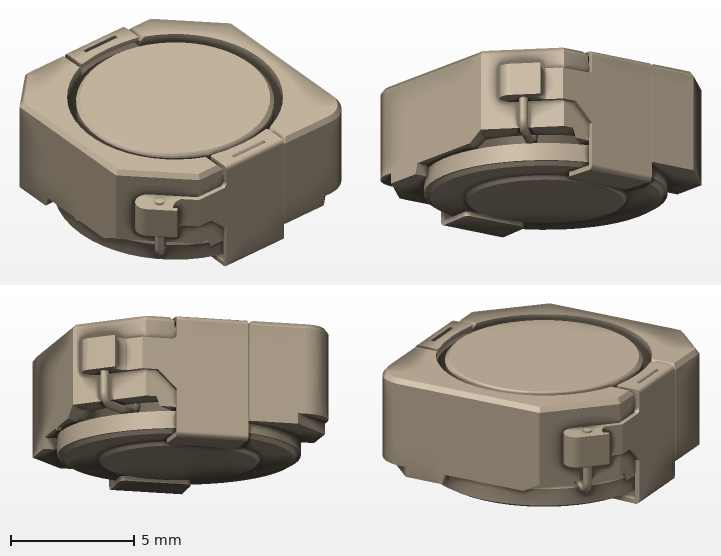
import cadquery as cq
import math


ROOT2 = math.sqrt(2)
TOP_Z = 5.0
SIDES = (0, 180)

SHEET = 0.2
STRAP_X = 5.18
STRAP_INNER_X = STRAP_X - SHEET
STRAP_HALF_WIDTH = 1.5
TAB_TIP_X = 4.28
TAB_EDGE_RADIUS = 6.04
TAB_TIP_FILLET = 0.08
TAB_GROOVE_X = 4.63
TAB_GROOVE_WIDTH = 0.2
TAB_GROOVE_DEPTH = 0.15
TAB_GROOVE_LENGTH = 1.67
FOOT_TIP_X = 3.43
FOOT_RISE = 0.05
FOOT_TIP_FILLET = 0.24
ARM_BOTTOM_Z = 2.72
ARM_TOP_Z = 4.03
ARM_HEIGHT = ARM_TOP_Z - ARM_BOTTOM_Z
GUSSET_RUN = 0.8
GUSSET_DROP = 0.77
ARM_FILLET = 0.2

HOOK_OUT = 6.07
HOOK_ACROSS = 0.47
HOOK_OUTER_RADIUS = 0.52
HOOK_INNER_RADIUS = HOOK_OUTER_RADIUS - SHEET
HOOK_TIP_X = 5.21
HOOK_TIP_ACROSS = HOOK_OUT + HOOK_OUTER_RADIUS - HOOK_TIP_X * ROOT2
SOLDER_TIP_ACROSS = -0.58
SOLDER_MIDDLE_ACROSS = -0.61
SOLDER_STRAP_ACROSS = -0.84

SHELL_HALF_X = STRAP_X
SHELL_HALF_Y = 5.15
SHELL_INSET_X = 4.96
SHELL_BOTTOM_Z = 1.25
LEG_BOTTOM_Z = 0.81
LEG_END_X = 1.95
LEG_SLOPE = 0.13
SLOT_HALF_WIDTH = 1.54
SLOT_FLOOR_Z = 4.52
TOP_CHAMFER_WIDTH = 0.16
TOP_CHAMFER_HEIGHT = 0.2
BEVEL_CORNER = 1.56
ROUND_CORNER = 1.22
HOOK_CORNER_SUM = 7.7
BORE_RADIUS = 4.38
FLANGE_BORE_RADIUS = 4.96
LEAD_NOTCH_TOP_Z = 1.65
LEAD_NOTCH_HALF_WIDTH = 1.88
LEAD_NOTCH_STEEP_RUN = 0.1
LEAD_NOTCH_SHALLOW_RUN = 0.5
TOOTH_HALF_WIDTH = 0.19
TOOTH_HEIGHT = 0.11
TOOTH_LENGTH = 0.42

CORE_X = 0.04
FLANGE_RADIUS = 4.94
FLANGE_CHAMFER_RADIUS = 4.83
FLANGE_CHAMFER_Z = 0.42
FLANGE_EDGE_Z = 1.14
FLANGE_TOP_Z = 1.21
FLANGE_TOP_RADIUS = 4.38
FLANGE_BOTTOM_RADIUS = 4.68
FLANGE_BOTTOM_Z = 0.26
BASE_RADIUS = 3.31
BASE_BOTTOM_RADIUS = 3.16
BASE_BOTTOM_Z = 0.1
POST_RADIUS = 2.5
CAP_BOTTOM_Z = 4.06
CAP_RADIUS = 4.01
CAP_TOP_RADIUS = 3.86
CAP_CHAMFER = 0.16
CORE_TOP_Z = 4.96

COIL_RADIUS = 3.44
WIRE_RADIUS = 0.18
WIRE_BEND = 0.42
LEAD_Z = 1.4
LEAD_TOP_Z = 4.11
LEAD_RISE_OUT = COIL_RADIUS
LEAD_RISE_BEND = 0.57

FAR = 6.25


def corner_point(across, out):
    """Plan position at the (-X, +Y) corner, across and out along its diagonal."""
    return ((across - out) / ROOT2, (across + out) / ROOT2)


def turned(body, angle):
    return body.rotate((0, 0, 0), (0, 0, 1), angle)


def hook_channel_points(radius):
    """Strap-side start, mid arc, and free-side end of the hook's round end."""
    start = corner_point(HOOK_ACROSS, HOOK_OUT - radius)
    middle = corner_point(HOOK_ACROSS + radius, HOOK_OUT)
    end = corner_point(HOOK_ACROSS, HOOK_OUT + radius)
    return start, middle, end


def shell_outline():
    hook_y = HOOK_CORNER_SUM - SHELL_INSET_X
    hook_x = HOOK_CORNER_SUM - SHELL_HALF_Y
    arc_offset = ROUND_CORNER * (1 - 1 / ROOT2)
    return (
        cq.Workplane("XY")
        .moveTo(BEVEL_CORNER - SHELL_HALF_X, -SHELL_HALF_Y)
        .lineTo(hook_x, -SHELL_HALF_Y)
        .lineTo(SHELL_INSET_X, -hook_y)
        .lineTo(SHELL_INSET_X, SLOT_HALF_WIDTH)
        .lineTo(SHELL_HALF_X, SLOT_HALF_WIDTH)
        .lineTo(SHELL_HALF_X, SHELL_HALF_Y - ROUND_CORNER)
        .threePointArc(
            (SHELL_HALF_X - arc_offset, SHELL_HALF_Y - arc_offset),
            (SHELL_HALF_X - ROUND_CORNER, SHELL_HALF_Y),
        )
        .lineTo(-hook_x, SHELL_HALF_Y)
        .lineTo(-SHELL_INSET_X, hook_y)
        .lineTo(-SHELL_INSET_X, -SLOT_HALF_WIDTH)
        .lineTo(-SHELL_HALF_X, -SLOT_HALF_WIDTH)
        .lineTo(-SHELL_HALF_X, BEVEL_CORNER - SHELL_HALF_Y)
        .close()
    )


def shell_upper_block():
    """Walls above the legs, with the tab slot and the bevelled top rims."""
    rim_z = TOP_Z - TOP_CHAMFER_HEIGHT
    block = shell_outline().extrude(rim_z - SHELL_BOTTOM_Z).translate((0, 0, SHELL_BOTTOM_Z))
    slot = cq.Workplane("XY", origin=(0, 0, SLOT_FLOOR_Z)).rect(2 * FAR, 2 * SLOT_HALF_WIDTH)
    block = block.cut(slot.extrude(TOP_Z))
    taper = math.degrees(math.atan(TOP_CHAMFER_WIDTH / TOP_CHAMFER_HEIGHT))
    return block.faces(">Z").wires().toPending().extrude(TOP_CHAMFER_HEIGHT, taper=taper)


def shell_legs():
    """Deeper walls at the (-X, -Y) and (+X, +Y) corners, each with one sloped end."""
    end_points = [
        (-FAR, LEG_BOTTOM_Z),
        (-LEG_END_X, LEG_BOTTOM_Z),
        (LEG_SLOPE - LEG_END_X, SHELL_BOTTOM_Z),
        (-FAR, SHELL_BOTTOM_Z),
    ]
    span = cq.Workplane("XZ", origin=(0, -SLOT_HALF_WIDTH, 0)).polyline(end_points).close().extrude(FAR)
    leg = shell_outline().extrude(SHELL_BOTTOM_Z).intersect(span)
    return [turned(leg, angle) for angle in SIDES]


def shell_tooth():
    """Small pointed tooth under the middle of the -Y wall."""
    return (
        cq.Workplane("XZ", origin=(0, TOOTH_LENGTH - SHELL_HALF_Y, 0))
        .moveTo(CORE_X - TOOTH_HALF_WIDTH, SHELL_BOTTOM_Z)
        .lineTo(CORE_X, SHELL_BOTTOM_Z - TOOTH_HEIGHT)
        .lineTo(CORE_X + TOOTH_HALF_WIDTH, SHELL_BOTTOM_Z)
        .close()
        .extrude(TOOTH_LENGTH)
    )


def lead_notch():
    """Opening under the (-X, +Y) corner for a lead, cut along the diagonal."""
    plane = cq.Plane(origin=(0, 0, 0), xDir=(-1, -1, 0), normal=(-1, 1, 0))
    profile = [
        (LEAD_NOTCH_HALF_WIDTH + LEAD_NOTCH_STEEP_RUN, SHELL_BOTTOM_Z),
        (LEAD_NOTCH_HALF_WIDTH, LEAD_NOTCH_TOP_Z),
        (-LEAD_NOTCH_HALF_WIDTH, LEAD_NOTCH_TOP_Z),
        (-LEAD_NOTCH_HALF_WIDTH - LEAD_NOTCH_SHALLOW_RUN, SHELL_BOTTOM_Z),
    ]
    return cq.Workplane(plane).polyline(profile).close().extrude(2 * FAR)


def make_shell():
    shell = shell_upper_block()
    for leg in shell_legs():
        shell = shell.union(leg)
    shell = shell.union(shell_tooth())
    shell = shell.cut(cq.Workplane("XY").center(CORE_X, 0).circle(BORE_RADIUS).extrude(TOP_Z))
    shell = shell.cut(cq.Workplane("XY").center(CORE_X, 0).circle(FLANGE_BORE_RADIUS).extrude(SHELL_BOTTOM_Z))
    for angle in SIDES:
        shell = shell.cut(turned(lead_notch(), angle))
    return shell


def make_core():
    half_section = [
        (0, BASE_BOTTOM_Z),
        (BASE_BOTTOM_RADIUS, BASE_BOTTOM_Z),
        (BASE_RADIUS, FLANGE_BOTTOM_Z),
        (FLANGE_BOTTOM_RADIUS, FLANGE_BOTTOM_Z),
        (FLANGE_CHAMFER_RADIUS, FLANGE_CHAMFER_Z),
        (FLANGE_RADIUS, FLANGE_CHAMFER_Z),
        (FLANGE_RADIUS, FLANGE_EDGE_Z),
        (FLANGE_TOP_RADIUS, FLANGE_TOP_Z),
        (POST_RADIUS, FLANGE_TOP_Z),
        (POST_RADIUS, CAP_BOTTOM_Z),
        (CAP_RADIUS, CAP_BOTTOM_Z),
        (CAP_RADIUS, CORE_TOP_Z - CAP_CHAMFER),
        (CAP_TOP_RADIUS, CORE_TOP_Z),
        (0, CORE_TOP_Z),
    ]
    core = cq.Workplane("XZ").polyline(half_section).close().revolve(360, (0, 0, 0), (0, 1, 0))
    return turned(core, -90).translate((CORE_X, 0, 0))


def make_lead(out_direction):
    """Round wire: down from the hook, in along the diagonal, then up into the coil."""
    out = cq.Vector(*out_direction)
    up = cq.Vector(0, 0, 1)
    outer_bend_middle = WIRE_BEND * (1 - 1 / ROOT2)
    inner_bend_middle = LEAD_RISE_BEND * (1 - 1 / ROOT2)
    top = out * HOOK_OUT + up * LEAD_TOP_Z
    outer_corner = out * HOOK_OUT + up * LEAD_Z
    inner_corner = out * LEAD_RISE_OUT + up * LEAD_Z
    drop_end = outer_corner + up * WIRE_BEND
    run_start = outer_corner - out * WIRE_BEND
    run_end = inner_corner + out * LEAD_RISE_BEND
    rise_end = inner_corner + up * LEAD_RISE_BEND
    path = cq.Wire.assembleEdges([
        cq.Edge.makeLine(top, drop_end),
        cq.Edge.makeThreePointArc(drop_end, outer_corner + (up - out) * outer_bend_middle, run_start),
        cq.Edge.makeLine(run_start, run_end),
        cq.Edge.makeThreePointArc(run_end, inner_corner + (out + up) * inner_bend_middle, rise_end),
    ])
    start = cq.Plane(origin=top.toTuple(), normal=(0, 0, -1))
    return cq.Workplane(start).circle(WIRE_RADIUS).sweep(cq.Workplane(path))


def make_coil():
    winding = cq.Workplane("XY", origin=(CORE_X, 0, FLANGE_TOP_Z)).circle(COIL_RADIUS).circle(POST_RADIUS)
    coil = winding.extrude(CAP_BOTTOM_Z - FLANGE_TOP_Z)
    for sign in (-1, 1):
        coil = coil.union(make_lead((sign / ROOT2, -sign / ROOT2, 0)))
    return coil


def terminal_clip():
    """C-shaped strap with a tab over the top and a foot under the core, on the -X side."""
    bend = SHEET * (1 - 1 / ROOT2)
    tab_end_x = TAB_EDGE_RADIUS - TAB_TIP_X
    clip = (
        cq.Workplane("XZ", origin=(0, STRAP_HALF_WIDTH, 0))
        .moveTo(-STRAP_X, SHEET)
        .lineTo(-STRAP_X, TOP_Z - SHEET)
        .threePointArc((bend - STRAP_X, TOP_Z - bend), (-STRAP_INNER_X, TOP_Z))
        .lineTo(-FOOT_TIP_X, TOP_Z)
        .lineTo(-FOOT_TIP_X, TOP_Z - SHEET)
        .lineTo(-STRAP_INNER_X, TOP_Z - SHEET)
        .lineTo(-STRAP_INNER_X, SHEET)
        .lineTo(-FOOT_TIP_X, SHEET + FOOT_RISE)
        .lineTo(-FOOT_TIP_X, FOOT_RISE)
        .lineTo(-STRAP_INNER_X, 0)
        .threePointArc((bend - STRAP_X, bend), (-STRAP_X, SHEET))
        .close()
        .extrude(2 * STRAP_HALF_WIDTH)
    )
    clip = clip.edges("|Z and >X").edges("<Z").fillet(FOOT_TIP_FILLET)
    edge_cut = cq.Workplane("XY", origin=(tab_end_x, 0, TOP_Z / 2)).circle(TAB_EDGE_RADIUS).extrude(TOP_Z)
    clip = clip.cut(edge_cut)
    tips = cq.selectors.BoxSelector((-STRAP_INNER_X, -FAR, TOP_Z - SHEET), (0, FAR, TOP_Z))
    return clip.edges("|Z").edges(tips).fillet(TAB_TIP_FILLET)


def tab_groove():
    """Groove with an upright outer wall and a floor that slopes up inwards."""
    return (
        cq.Workplane("XZ", origin=(0, TAB_GROOVE_LENGTH / 2, 0))
        .moveTo(-TAB_GROOVE_X, TOP_Z)
        .lineTo(-TAB_GROOVE_X - TAB_GROOVE_WIDTH, TOP_Z)
        .lineTo(-TAB_GROOVE_X - TAB_GROOVE_WIDTH, TOP_Z - TAB_GROOVE_DEPTH)
        .close()
        .extrude(TAB_GROOVE_LENGTH)
    )


def terminal_arm():
    """Arm along the strap's side that turns onto the diagonal and ends in a U hook."""
    outer_bend_y = (HOOK_OUT - HOOK_INNER_RADIUS) * ROOT2 - STRAP_X
    inner_bend_y = (HOOK_OUT - HOOK_OUTER_RADIUS) * ROOT2 - STRAP_INNER_X
    inside_start, inside_middle, inside_end = hook_channel_points(HOOK_INNER_RADIUS)
    outside_start, outside_middle, outside_end = hook_channel_points(HOOK_OUTER_RADIUS)
    return (
        cq.Workplane("XY", origin=(0, 0, ARM_BOTTOM_Z))
        .moveTo(-STRAP_X, 0)
        .lineTo(-STRAP_X, outer_bend_y)
        .lineTo(*inside_start)
        .threePointArc(inside_middle, inside_end)
        .lineTo(*corner_point(HOOK_TIP_ACROSS, HOOK_OUT + HOOK_INNER_RADIUS))
        .lineTo(*corner_point(HOOK_TIP_ACROSS, HOOK_OUT + HOOK_OUTER_RADIUS))
        .lineTo(*outside_end)
        .threePointArc(outside_middle, outside_start)
        .lineTo(-STRAP_INNER_X, inner_bend_y)
        .lineTo(-STRAP_INNER_X, 0)
        .close()
        .extrude(ARM_HEIGHT)
    )


def arm_root():
    """Sloped gusset below the arm and fillet above it, where it leaves the strap."""
    fillet_middle = ARM_FILLET * (1 - 1 / ROOT2)
    return (
        cq.Workplane("YZ", origin=(-STRAP_X, 0, 0))
        .moveTo(0, ARM_BOTTOM_Z - GUSSET_DROP)
        .lineTo(STRAP_HALF_WIDTH, ARM_BOTTOM_Z - GUSSET_DROP)
        .lineTo(STRAP_HALF_WIDTH + GUSSET_RUN, ARM_BOTTOM_Z)
        .lineTo(STRAP_HALF_WIDTH + GUSSET_RUN, ARM_TOP_Z)
        .lineTo(STRAP_HALF_WIDTH + ARM_FILLET, ARM_TOP_Z)
        .threePointArc(
            (STRAP_HALF_WIDTH + fillet_middle, ARM_TOP_Z + fillet_middle),
            (STRAP_HALF_WIDTH, ARM_TOP_Z + ARM_FILLET),
        )
        .lineTo(0, ARM_TOP_Z + ARM_FILLET)
        .close()
        .extrude(SHEET)
    )


def make_terminal(angle):
    terminal = terminal_clip().cut(tab_groove())
    terminal = terminal.union(terminal_arm()).union(arm_root())
    return turned(terminal, angle)


def make_solder(angle):
    """Solder filling a hook around its lead, with a concave open end."""
    start, middle, end = hook_channel_points(HOOK_INNER_RADIUS)
    filling = (
        cq.Workplane("XY", origin=(0, 0, ARM_BOTTOM_Z))
        .moveTo(*start)
        .threePointArc(middle, end)
        .lineTo(*corner_point(SOLDER_TIP_ACROSS, HOOK_OUT + HOOK_INNER_RADIUS))
        .threePointArc(
            corner_point(SOLDER_MIDDLE_ACROSS, HOOK_OUT),
            corner_point(SOLDER_STRAP_ACROSS, HOOK_OUT - HOOK_INNER_RADIUS),
        )
        .close()
        .extrude(ARM_HEIGHT)
    )
    lead_x, lead_y = corner_point(0, HOOK_OUT)
    lead_hole = cq.Workplane("XY").center(lead_x, lead_y).circle(WIRE_RADIUS).extrude(TOP_Z)
    return turned(filling.cut(lead_hole), angle)


shell = make_shell()
core = make_core()
coil = make_coil()
terminals = [make_terminal(angle) for angle in SIDES]
solder_drops = [make_solder(angle) for angle in SIDES]

result = cq.Compound.makeCompound([
    shell.val(),
    core.val(),
    coil.val(),
    *[terminal.val() for terminal in terminals],
    *[drop.val() for drop in solder_drops],
])